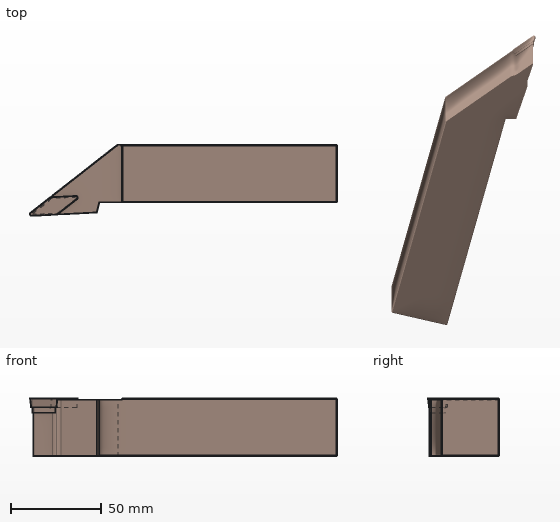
import cadquery as cq
import math


length = 170.0
width = 39.5
height = 32.0
shank_side = 32.0
shank_front_y = width - shank_side
edge_chamfer = 0.5

head_drop = 0.6
head_end_x = 50.8
heel_x = 37.0
heel_root_x = 38.5
relief_depth = 1.0
relief_start = 14.5
relief_end = 19.2
relief_nose_radius = 0.3

front_angle = 3.0
point_angle = 35.0
insert_side = 17.2
insert_thickness = 5.0
insert_clearance = 7.0
nose_radius = 1.0

ledge_thickness = 3.0
ledge_inset = 0.7
ledge_side = 14.1
ledge_nose_radius = 0.7

back_angle = front_angle + point_angle
bisector_angle = front_angle + point_angle / 2
half_point_sine = math.sin(math.radians(point_angle / 2))


def step(start, angle, distance):
    """Move from a plan point by a distance along an angle in degrees."""
    turn = math.radians(angle)
    return (start[0] + distance * math.cos(turn), start[1] + distance * math.sin(turn))


tip = step((nose_radius, nose_radius), bisector_angle, -nose_radius / half_point_sine)


def inset_tip(inset):
    """Meeting point of the two flanks after both move inward."""
    return step(tip, bisector_angle, inset / half_point_sine)


def front_point(distance, inset=0.0):
    return step(step(tip, front_angle, distance), front_angle + 90, inset)


def back_point(distance, inset=0.0):
    return step(step(tip, back_angle, distance), back_angle - 90, inset)


def rhombus(corner, side, base_z):
    """Closed rhombic wire that starts at its acute corner."""
    front_corner = step(corner, front_angle, side)
    far_corner = step(front_corner, back_angle, side)
    back_corner = step(corner, back_angle, side)
    outline = [corner, front_corner, far_corner, back_corner]
    return cq.Workplane("XY").workplane(offset=base_z).polyline(outline).close()


def make_insert():
    outline_plate = rhombus(tip, insert_side, height).extrude(-insert_thickness)
    outline_plate = outline_plate.edges("|Z").edges("<X or >X").fillet(nose_radius)
    outline = outline_plate.faces(">Z").wires()
    return outline.toPending().extrude(-insert_thickness, combine=False, taper=insert_clearance)


def make_ledge():
    base_z = height - insert_thickness - ledge_thickness
    plate = rhombus(inset_tip(ledge_inset), ledge_side, base_z).extrude(ledge_thickness)
    return plate.edges("|Z and <X").fillet(ledge_nose_radius)


def holder_plan():
    """Plan of head and shank; each relieved flank swings out in a tangent S-curve."""
    relief_middle = (relief_start + relief_end) / 2
    heel_distance = (heel_x - tip[0]) / math.cos(math.radians(front_angle))
    back_distance = (width - tip[1]) / math.sin(math.radians(back_angle))
    return (
        cq.Workplane("XY")
        .moveTo(*inset_tip(relief_depth))
        .lineTo(*front_point(relief_start, relief_depth))
        .tangentArcPoint(front_point(relief_middle, relief_depth / 2), relative=False)
        .tangentArcPoint(front_point(relief_end), relative=False)
        .lineTo(*front_point(heel_distance))
        .lineTo(heel_root_x, shank_front_y)
        .lineTo(length, shank_front_y)
        .lineTo(length, width)
        .lineTo(*back_point(back_distance))
        .lineTo(*back_point(relief_end))
        .tangentArcPoint(back_point(relief_middle, relief_depth / 2), relative=False)
        .tangentArcPoint(back_point(relief_start, relief_depth), relative=False)
        .close()
    )


def make_holder(insert):
    body = holder_plan().extrude(height)
    body = body.edges("|Z and <X").fillet(relief_nose_radius)
    head_clearance = cq.Workplane("XY").box(head_end_x, width, head_drop, centered=False)
    body = body.cut(head_clearance.translate((0, 0, height - head_drop)))
    body = body.faces(">Z or >X").edges().add(body.faces("<Z").edges("|X")).chamfer(edge_chamfer)
    return body.union(make_ledge()).cut(insert)


insert = make_insert()
holder = make_holder(insert)
result = cq.Compound.makeCompound([holder.solids().val(), insert.solids().val()])